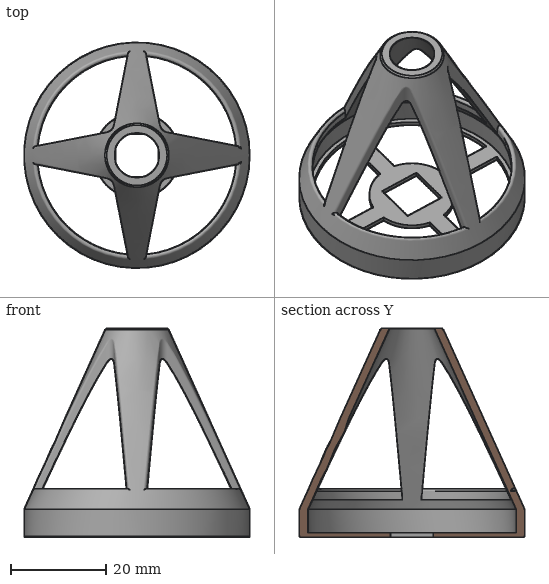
import cadquery as cq
import math

base_radius = 23.75
height = 44.0
skirt_height = 5.95
top_radius = 6.55
top_chamfer = 0.4
bottom_chamfer = 0.2

wall_across = 1.9
bore_radius = 4.7

floor_thickness = 1.0
lip_radius = 20.9
hub_radius = 9.0
arm_width = 3.7
square_side = 8.95

leg_count = 4
window_radius = 20.95
leg_half_width_at_rim = 2.0
leg_taper = 0.195
window_corner_radius = 1.9
window_edge_fillet = 0.5
match_tolerance = 0.005

cone_slope = (base_radius - top_radius) / (height - skirt_height)
cavity_radius = base_radius - wall_across
bore_bottom = skirt_height + (cavity_radius - bore_radius) / cone_slope


def make_shell():
    """Revolve the hollow cone with its skirt, floor lip and bore."""
    profile = (
        cq.Workplane("XZ")
        .moveTo(lip_radius, 0)
        .lineTo(base_radius - bottom_chamfer, 0)
        .lineTo(base_radius, bottom_chamfer)
        .lineTo(base_radius, skirt_height)
        .lineTo(top_radius + cone_slope * top_chamfer, height - top_chamfer)
        .lineTo(top_radius + cone_slope * top_chamfer - top_chamfer, height)
        .lineTo(bore_radius, height)
        .lineTo(bore_radius, bore_bottom)
        .lineTo(cavity_radius, skirt_height)
        .lineTo(cavity_radius, floor_thickness)
        .lineTo(lip_radius, floor_thickness)
        .close()
    )
    return profile.revolve(360, (0, 0, 0), (0, 1, 0))


def make_window():
    """Upright prism that opens the cone between the legs on +X and +Y."""
    axis_half_width = leg_half_width_at_rim + leg_taper * window_radius
    inner = axis_half_width / (1 + leg_taper)

    a = 1 + leg_taper**2
    b = axis_half_width * leg_taper
    c = axis_half_width**2 - window_radius**2
    far = (b + math.sqrt(b**2 - a * c)) / a
    near = axis_half_width - leg_taper * far
    middle = window_radius * math.sqrt(0.5)

    outline = (
        cq.Workplane("XY")
        .workplane(offset=floor_thickness)
        .moveTo(inner, inner)
        .lineTo(far, near)
        .threePointArc((middle, middle), (near, far))
        .close()
    )
    prism = outline.extrude(height)
    inner_edge = cq.selectors.NearestToPointSelector((inner, inner, height / 2))
    return prism.edges("|Z").edges(inner_edge).fillet(window_corner_radius)


def cut_windows(body):
    """Cut one window in each gap between neighbouring legs."""
    window = make_window()
    for index in range(leg_count):
        body = body.cut(window.rotate((0, 0, 0), (0, 0, 1), index * 360 / leg_count))
    return body


def make_floor():
    """Hub on four arms that reach into the skirt, with a square hole through it."""
    arm_length = lip_radius + cavity_radius
    hub = cq.Workplane("XY").circle(hub_radius).extrude(floor_thickness)
    for size in ((arm_length, arm_width), (arm_width, arm_length)):
        hub = hub.union(cq.Workplane("XY").rect(*size).extrude(floor_thickness))
    return hub.cut(cq.Workplane("XY").rect(square_side, square_side).extrude(floor_thickness))


def round_window_edges(body):
    """Round the edges where the windows break through the outer cone."""
    def on_window_outline(edge):
        point = edge.positionAt(0.5)
        cone_radius = base_radius - cone_slope * (point.z - skirt_height)
        on_cone = abs(math.hypot(point.x, point.y) - cone_radius) < match_tolerance
        return on_cone and skirt_height < point.z < height and edge.geomType() not in ("LINE", "CIRCLE")

    edges = [edge for edge in body.edges().vals() if on_window_outline(edge)]
    return body.newObject(edges).fillet(window_edge_fillet)


body = round_window_edges(cut_windows(make_shell())).union(make_floor())
result = cq.Workplane(body.val().fix())